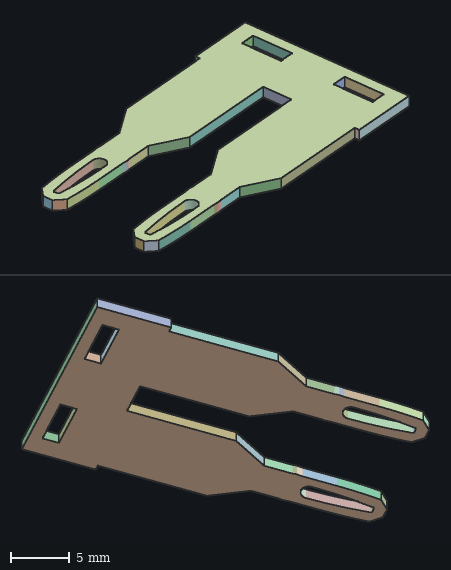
import cadquery as cq

thickness = 1.1
total_length = 31.8

leg_width = 7.0
leg_gap = 3.1
head_overhang = 0.5
head_width = 2 * leg_width + leg_gap + 2 * head_overhang
head_depth = 6.8
leg_pitch = leg_width + leg_gap
shoulder_start = 16.8
shoulder_end = 20.1

blade_half = 1.6
nose_chamfer = 0.9
nose_half = 0.5
blade_end_half = nose_half + nose_chamfer
taper_start = 26.8
taper_end = total_length - nose_chamfer
taper_length = taper_end - taper_start

barb_start = 22.7
barb_crest = 22.9
barb_fall_start = 23.1
barb_end = 23.6
barb_height = 0.04

window_width = 4.3
window_depth = 1.5
window_margin = 1.2

eye_start = 24.1
eye_end = 30.7
eye_half = 0.7
eye_end_half = 0.3
eye_corner_radius = 0.15
eye_round_end = eye_start + eye_half
eye_length = eye_end - eye_round_end

MIDWAY_INSET = 0.25


def shallow_arc_middle(start_half, end_half):
    """Half width at mid length of an edge that starts parallel to Y and curves inwards."""
    return start_half - MIDWAY_INSET * (start_half - end_half)


def make_head():
    return (
        cq.Workplane("XY", origin=(0, -head_depth / 2, 0))
        .rect(head_width, head_depth)
        .extrude(thickness)
    )


def make_leg(center_x):
    """Leg with sloping shoulders that narrows to a barbed, tapered blade."""
    leg_half = leg_width / 2
    barb_half = blade_half + barb_height
    taper_middle = taper_start + taper_length / 2
    taper_middle_half = shallow_arc_middle(blade_half, blade_end_half)
    return (
        cq.Workplane("XY", origin=(center_x, 0, 0))
        .moveTo(-leg_half, -head_depth)
        .lineTo(-leg_half, -shoulder_start)
        .lineTo(-blade_half, -shoulder_end)
        .lineTo(-blade_half, -barb_start)
        .threePointArc((-barb_half, -barb_crest), (-barb_half, -barb_fall_start))
        .lineTo(-blade_half, -barb_end)
        .lineTo(-blade_half, -taper_start)
        .threePointArc((-taper_middle_half, -taper_middle), (-blade_end_half, -taper_end))
        .lineTo(-nose_half, -total_length)
        .lineTo(nose_half, -total_length)
        .lineTo(blade_end_half, -taper_end)
        .threePointArc((taper_middle_half, -taper_middle), (blade_half, -taper_start))
        .lineTo(blade_half, -barb_end)
        .lineTo(barb_half, -barb_fall_start)
        .threePointArc((barb_half, -barb_crest), (blade_half, -barb_start))
        .lineTo(blade_half, -shoulder_end)
        .lineTo(leg_half, -shoulder_start)
        .lineTo(leg_half, -head_depth)
        .close()
        .extrude(thickness)
    )


def make_window(center_x):
    center_y = -(window_margin + window_depth / 2)
    return (
        cq.Workplane("XY", origin=(center_x, center_y, 0))
        .rect(window_width, window_depth)
        .extrude(thickness)
    )


def make_eye(center_x):
    """Eye with a round rear end, curved converging sides and a small rounded front end."""
    middle = eye_round_end + eye_length / 2
    middle_half = shallow_arc_middle(eye_half, eye_end_half)
    return (
        cq.Workplane("XY", origin=(center_x, 0, 0))
        .moveTo(-eye_half, -eye_round_end)
        .threePointArc((-middle_half, -middle), (-eye_end_half, -eye_end))
        .lineTo(eye_end_half, -eye_end)
        .threePointArc((middle_half, -middle), (eye_half, -eye_round_end))
        .threePointArc((0, -eye_start), (-eye_half, -eye_round_end))
        .close()
        .extrude(thickness)
        .edges("|Z and <Y")
        .fillet(eye_corner_radius)
    )


result = make_head()
for leg_center in (-leg_pitch / 2, leg_pitch / 2):
    result = result.union(make_leg(leg_center))
    result = result.cut(make_window(leg_center))
    result = result.cut(make_eye(leg_center))